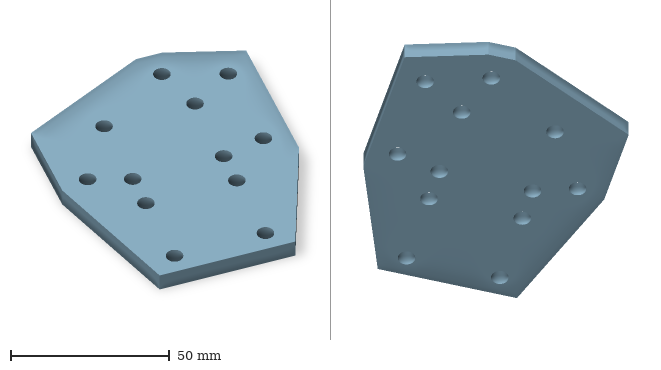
import cadquery as cq

length = 96.8
width = 76.8
thickness = 6.0

top_edge_start, top_edge_end = 8.2, 56.2
right_edge_start, right_edge_end = 15.1, 60.6
bottom_edge_start, bottom_edge_end = 20.7, 49.2
left_edge_start, left_edge_end = 42.8, 51.7

hole_diameter = 5.5
group_left_x = 25.75
group_bottom_y = 22.7
group_hole_spacing_x = 26.0
group_hole_spacing_y = 30.5
group_pitch = 38.0

upper_hole_y = 67.8
upper_left_hole_x = 16.4
upper_right_hole_x = 48.3
left_hole = (9.3, 48.1)
lower_hole = (47.05, 9.3)


def group_holes(left_x):
    """Centres of the four holes in the group that starts at left_x."""
    return [
        (left_x + dx, group_bottom_y + dy)
        for dx in (0, group_hole_spacing_x)
        for dy in (0, group_hole_spacing_y)
    ]


outline = [
    (bottom_edge_start, 0),
    (bottom_edge_end, 0),
    (length, right_edge_start),
    (length, right_edge_end),
    (top_edge_end, width),
    (top_edge_start, width),
    (0, left_edge_end),
    (0, left_edge_start),
]

border_holes = [
    (upper_left_hole_x, upper_hole_y),
    (upper_right_hole_x, upper_hole_y),
    left_hole,
    lower_hole,
]
hole_centres = border_holes + group_holes(group_left_x) + group_holes(group_left_x + group_pitch)

plate = cq.Workplane("XY").polyline(outline).close().extrude(thickness)
holes = cq.Workplane("XY").pushPoints(hole_centres).circle(hole_diameter / 2).extrude(thickness)

result = plate.cut(holes)